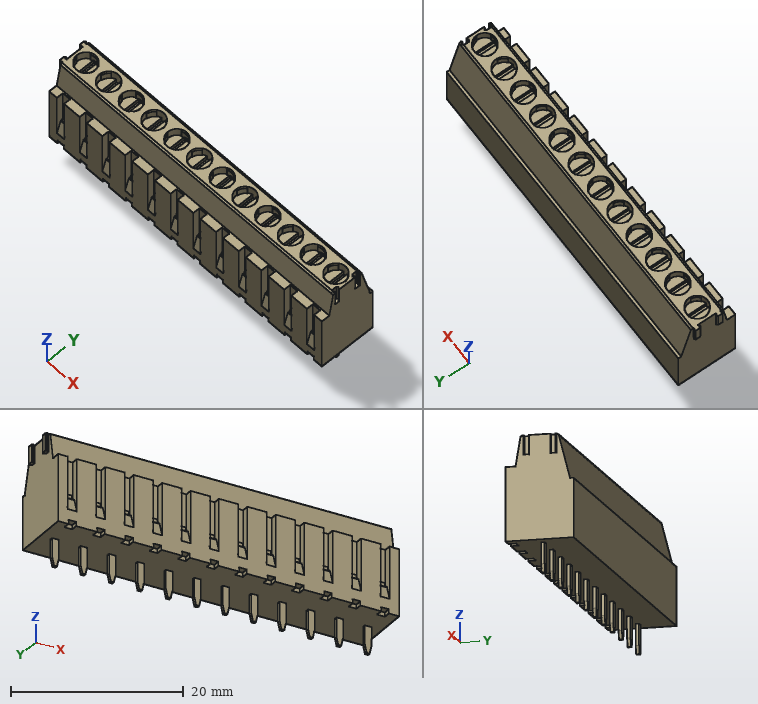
import cadquery as cq

OVERALL_LENGTH = 46.2
OVERALL_HEIGHT = 16.1
WAYS = 12
HOUSING_LENGTH = 45.7
PITCH = HOUSING_LENGTH / WAYS
DEPTH = 8.2
TOP_Z = 12.53
MID_Y = DEPTH / 2

FRONT_SHOULDER_Z = 8.87
FRONT_SHOULDER_Y = 1.2
BACK_SHOULDER_Z = 7.05
BACK_SHOULDER_Y = DEPTH - 0.4
FRONT_EDGE_Y = 1.8
BACK_EDGE_Y = DEPTH - 1.8
BEVEL_WIDTH = 0.3
BEVEL_DROP = 0.15

RECESS_DIAMETER = 3.0
TOOTH_COUNT = 3
TOOTH_ARC = 50
TOOTH_INNER_DIAMETER = 2.8
TOOTH_BEVEL_HEIGHT = 0.3
SCREW_HEAD_Z = TOP_Z - 1.25
DRIVER_SLOT_WIDTH = 0.55
DRIVER_SLOT_DEPTH = 0.55

WIRE_SLOT_WIDTH = 1.2
WIRE_SLOT_DEPTH = 0.95
WIRE_SLOT_BOTTOM_Z = 1.95
RAMP_TOP_Y = 0.6
RAMP_TOP_Z = 3.8
WEDGE_WIDTH = 1.0
WEDGE_FRONT_Y = 0.7
WEDGE_TOP_Z = 4.5

NOTCH_WIDTH = 1.0
NOTCH_HEIGHT = 0.55
NOTCH_DEPTH = 0.92

PIN_WIDTH = 0.9
PIN_THICKNESS = 0.4
PIN_TIP_WIDTH = 0.4
PIN_TAPER_HEIGHT = 1.0
PIN_BOTTOM_Z = TOP_Z - OVERALL_HEIGHT
PIN_EMBED = 0.45

RIB_CENTRES_Y = (2.5, 5.7)
RIB_HEIGHT = 2.3
RIB_PROJECTION = 0.45
RIB_HEAD_WIDTH = 0.92
RIB_NECK_WIDTH = 0.65
RIB_NECK_LENGTH = 0.25
RIB_CHAMFER = 0.15
GROOVE_CLEARANCE = 0.05

STRIP_PROJECTION = OVERALL_LENGTH - HOUSING_LENGTH - RIB_PROJECTION
STRIP_WIDTH = 0.1
STRIP_Y = 6.1


def housing():
    outline = [
        (0, 0),
        (DEPTH, 0),
        (DEPTH, BACK_SHOULDER_Z),
        (BACK_SHOULDER_Y, BACK_SHOULDER_Z),
        (BACK_EDGE_Y, TOP_Z - BEVEL_DROP),
        (BACK_EDGE_Y - BEVEL_WIDTH, TOP_Z),
        (FRONT_EDGE_Y + BEVEL_WIDTH, TOP_Z),
        (FRONT_EDGE_Y, TOP_Z - BEVEL_DROP),
        (FRONT_SHOULDER_Y, FRONT_SHOULDER_Z),
        (0, FRONT_SHOULDER_Z),
    ]
    return cq.Workplane("YZ").polyline(outline).close().extrude(HOUSING_LENGTH)


def recess_tooth(centre_angle):
    """Shallow pad on the recess wall, bevelled at the top so that it fades out at the rim."""
    wall_radius = RECESS_DIAMETER / 2
    inner_radius = TOOTH_INNER_DIAMETER / 2
    section = [
        (inner_radius, SCREW_HEAD_Z),
        (wall_radius, SCREW_HEAD_Z),
        (wall_radius, TOP_Z),
        (inner_radius, TOP_Z - TOOTH_BEVEL_HEIGHT),
    ]
    pad = cq.Workplane("XZ").polyline(section).close().revolve(TOOTH_ARC, (0, 0), (0, 1))
    return pad.rotate((0, 0, 0), (0, 0, 1), centre_angle - TOOTH_ARC / 2)


def screw_recess(x, first_tooth_angle):
    """Round well with three teeth on its wall and the driver slot of the screw in its floor."""
    floor = cq.Workplane("XY", origin=(0, 0, SCREW_HEAD_Z))
    well = floor.circle(RECESS_DIAMETER / 2).extrude(TOP_Z - SCREW_HEAD_Z)
    slot_band = cq.Workplane("XY").box(DRIVER_SLOT_WIDTH, DEPTH, 2 * TOP_Z)
    driver_slot = floor.circle(RECESS_DIAMETER / 2).extrude(-DRIVER_SLOT_DEPTH).intersect(slot_band)
    for tooth in range(TOOTH_COUNT):
        well = well.cut(recess_tooth(first_tooth_angle + tooth * 360 / TOOTH_COUNT))
    return well.union(driver_slot).translate((x, MID_Y, 0))


def wire_slot(x):
    """Open-topped slot with a ramp for a floor, then a ledge carrying a narrower wedge."""
    slot_side = [
        (0, WIRE_SLOT_BOTTOM_Z),
        (RAMP_TOP_Y, RAMP_TOP_Z),
        (WIRE_SLOT_DEPTH, RAMP_TOP_Z),
        (WIRE_SLOT_DEPTH, FRONT_SHOULDER_Z),
        (0, FRONT_SHOULDER_Z),
    ]
    wedge_side = [
        (WEDGE_FRONT_Y, RAMP_TOP_Z),
        (WIRE_SLOT_DEPTH, RAMP_TOP_Z),
        (WIRE_SLOT_DEPTH, WEDGE_TOP_Z),
    ]
    mid_plane = cq.Workplane("YZ", origin=(x, 0, 0))
    slot = mid_plane.polyline(slot_side).close().extrude(WIRE_SLOT_WIDTH / 2, both=True)
    wedge = mid_plane.polyline(wedge_side).close().extrude(WEDGE_WIDTH / 2, both=True)
    return slot.cut(wedge)


def notch(x):
    block = cq.Workplane("XY").box(NOTCH_WIDTH, NOTCH_DEPTH, NOTCH_HEIGHT, centered=(True, False, False))
    return block.translate((x, 0, 0))


def pin(x):
    """Flat pin, tapered in width at its tip."""
    taper_z = PIN_BOTTOM_Z + PIN_TAPER_HEIGHT
    outline = [
        (x - PIN_WIDTH / 2, PIN_EMBED),
        (x - PIN_WIDTH / 2, taper_z),
        (x - PIN_TIP_WIDTH / 2, PIN_BOTTOM_Z),
        (x + PIN_TIP_WIDTH / 2, PIN_BOTTOM_Z),
        (x + PIN_WIDTH / 2, taper_z),
        (x + PIN_WIDTH / 2, PIN_EMBED),
    ]
    centre_plane = cq.Workplane("XZ", origin=(0, MID_Y, 0))
    return centre_plane.polyline(outline).close().extrude(PIN_THICKNESS / 2, both=True)


def rib(end_x, y, clearance=0):
    """Upright T-shaped rib pointing to -X from end_x, with chamfered head corners."""
    neck = RIB_NECK_WIDTH / 2
    head = RIB_HEAD_WIDTH / 2
    tip_x = end_x - RIB_PROJECTION - clearance
    half_outline = [
        (end_x, neck),
        (end_x - RIB_NECK_LENGTH, neck),
        (end_x - RIB_NECK_LENGTH, head),
        (tip_x + RIB_CHAMFER, head),
        (tip_x, head - RIB_CHAMFER),
    ]
    mirrored = [(px, -py) for px, py in reversed(half_outline)]
    plane = cq.Workplane("XY", origin=(0, y, TOP_Z - RIB_HEIGHT))
    return plane.polyline(half_outline + mirrored).close().extrude(RIB_HEIGHT)


def strip():
    size = (STRIP_PROJECTION, STRIP_WIDTH, RIB_HEIGHT)
    place = (HOUSING_LENGTH, STRIP_Y, TOP_Z - RIB_HEIGHT)
    return cq.Workplane("XY").box(*size, centered=(False, True, False)).translate(place)


result = housing()
for y in RIB_CENTRES_Y:
    result = result.cut(rib(HOUSING_LENGTH, y, GROOVE_CLEARANCE))
    result = result.union(rib(0, y))
result = result.union(strip())

for way in range(WAYS):
    way_x = (way + 0.5) * PITCH
    first_tooth_angle = 90 if way % 2 == 0 else 270
    result = result.cut(screw_recess(way_x, first_tooth_angle))
    result = result.cut(wire_slot(way_x)).cut(notch(way_x))
    result = result.union(pin(way_x))